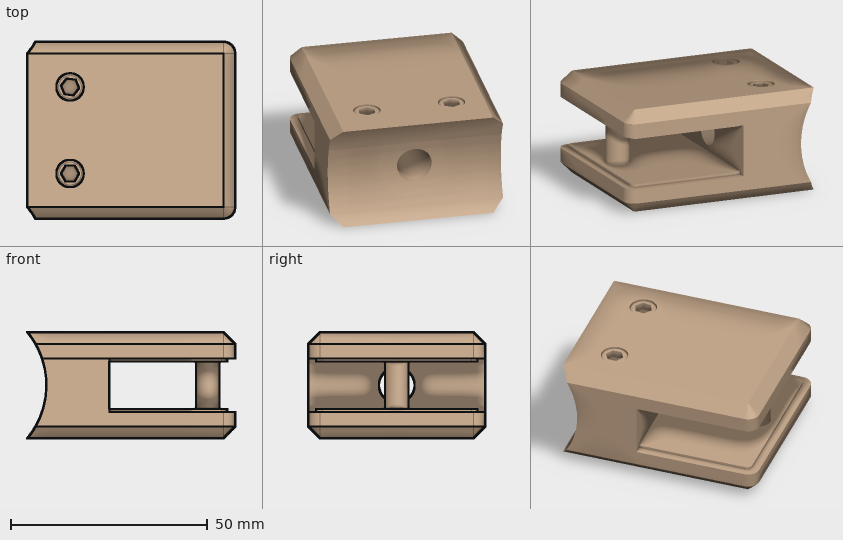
import cadquery as cq
import math

LENGTH = 52.85
WIDTH = 45.0
HEIGHT = 27.0
TUBE_RADIUS = 21.2
EDGE_CHAMFER = 3.0
CORNER_RADIUS = EDGE_CHAMFER + 0.005

SLOT_X = 16.0
JAW_THICKNESS = 6.75
PAD_THICKNESS = 0.75
PAD_MARGIN = 2.0
PAD_CORNER_RADIUS = 1.5
PIN_DIAMETER = 6.0
PIN_X = 41.0
PIN_ROOT_FILLET = 0.2

BORE_DIAMETER = 9.0

SCREW_X = 6.0
SCREW_PITCH = 22.0
SCREW_DIAMETER = 7.0
SCREW_LENGTH = 12.0
SCREW_ROUND = 0.6
SCREW_RECESS = 0.25
SOCKET_FLATS = 4.0
SOCKET_DEPTH = 2.0
SOCKET_TURNS = {-1: 0.0, 1: -8.0}

TOP_Z = HEIGHT / 2
JOINT_Z = TOP_Z - JAW_THICKNESS
PAD_Z = JOINT_Z - PAD_THICKNESS
TUBE_SAGITTA = TUBE_RADIUS - math.sqrt(TUBE_RADIUS**2 - TOP_Z**2)
BACK_X = -TUBE_SAGITTA
FRONT_X = BACK_X + LENGTH
SCREW_TOP_Z = TOP_Z - SCREW_RECESS
SCREW_BOTTOM_Z = SCREW_TOP_Z - SCREW_LENGTH


def box_between(x_range, y_range, z_range):
    """Box spanning the given (low, high) ranges."""
    (x0, x1), (y0, y1), (z0, z1) = x_range, y_range, z_range
    return cq.Workplane("XY").box(x1 - x0, y1 - y0, z1 - z0, centered=False).translate((x0, y0, z0))


def make_block():
    """Chamfered outer block with the tube seat cut into its back end."""
    start_x = BACK_X - 2 * EDGE_CHAMFER
    half_width = WIDTH / 2
    block = box_between((start_x, FRONT_X), (-half_width, half_width), (-TOP_Z, TOP_Z))
    block = block.edges("|Z and >X").fillet(CORNER_RADIUS)
    block = block.faces("<Z or >Z").chamfer(EDGE_CHAMFER)
    back = box_between((start_x, BACK_X), (-half_width, half_width), (-TOP_Z, TOP_Z))
    tube = (
        cq.Workplane("XZ")
        .center(-TUBE_RADIUS, 0)
        .circle(TUBE_RADIUS)
        .extrude(half_width, both=True)
    )
    return block.cut(back).cut(tube)


def make_pad(bottom_z):
    """Flat pad with rounded front corners."""
    half_width = WIDTH / 2 - PAD_MARGIN
    x_range = (SLOT_X, FRONT_X - PAD_MARGIN)
    pad = box_between(x_range, (-half_width, half_width), (bottom_z, bottom_z + PAD_THICKNESS))
    return pad.edges("|Z and >X").fillet(PAD_CORNER_RADIUS)


def make_screw_cylinder(side, top_z):
    """Plain cylinder on one screw axis, from the bottom of the screw up to top_z."""
    return (
        cq.Workplane("XY", origin=(SCREW_X, side * SCREW_PITCH / 2, SCREW_BOTTOM_Z))
        .circle(SCREW_DIAMETER / 2)
        .extrude(top_z - SCREW_BOTTOM_Z)
    )


def make_screw(side):
    """Headless screw with a rounded top edge and a hexagon socket."""
    socket_corners = SOCKET_FLATS / math.cos(math.pi / 6)
    socket = (
        cq.Workplane("XY")
        .polygon(6, socket_corners)
        .extrude(-SOCKET_DEPTH)
        .rotate((0, 0, 0), (0, 0, 1), SOCKET_TURNS[side])
        .translate((SCREW_X, side * SCREW_PITCH / 2, SCREW_TOP_Z))
    )
    return make_screw_cylinder(side, SCREW_TOP_Z).faces(">Z").edges().fillet(SCREW_ROUND).cut(socket)


def drill_screw_holes(body):
    """Cut the blind screw holes, which open at the top of the block."""
    for side in SOCKET_TURNS:
        body = body.cut(make_screw_cylinder(side, TOP_Z))
    return body


def make_cover(block):
    """Upper jaw: everything above the top of the slot."""
    above = box_between((BACK_X, FRONT_X), (-WIDTH / 2, WIDTH / 2), (JOINT_Z, TOP_Z))
    return drill_screw_holes(block.intersect(above))


def make_base(block):
    """Lower jaw and the wall behind the slot, with the bore."""
    below = box_between((BACK_X, FRONT_X), (-WIDTH / 2, WIDTH / 2), (-TOP_Z, JOINT_Z))
    slot = box_between((SLOT_X, FRONT_X), (-WIDTH / 2, WIDTH / 2), (-JOINT_Z, JOINT_Z))
    bore = cq.Workplane("YZ", origin=(BACK_X, 0, 0)).circle(BORE_DIAMETER / 2).extrude(SLOT_X - BACK_X)
    base = block.intersect(below).cut(slot).cut(bore)
    return drill_screw_holes(base)


def make_gasket():
    """Two pads joined into one piece by a round pin with a small fillet at each root."""
    pin = (
        cq.Workplane("XY", origin=(PIN_X, 0, -PAD_Z))
        .circle(PIN_DIAMETER / 2)
        .extrude(2 * PAD_Z)
    )
    gasket = pin.union(make_pad(-JOINT_Z)).union(make_pad(PAD_Z))
    pin_roots = gasket.edges("%CIRCLE").edges(cq.selectors.RadiusNthSelector(-1))
    return pin_roots.fillet(PIN_ROOT_FILLET)


block = make_block()
cover = make_cover(block)
base = make_base(block)
gasket = make_gasket()
screws = [make_screw(side) for side in SOCKET_TURNS]

result = cq.Compound.makeCompound(
    [base.val(), cover.val(), gasket.val(), *[screw.val() for screw in screws]]
)